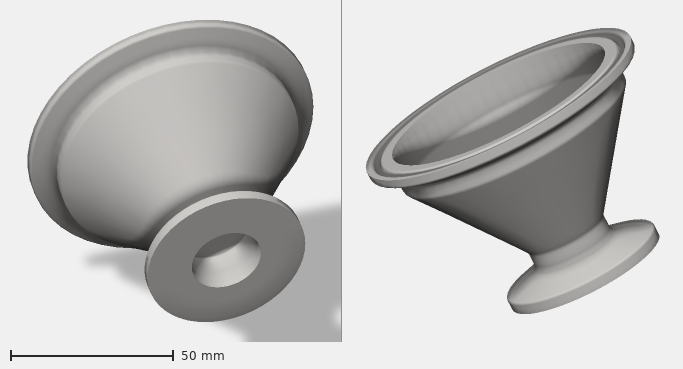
import cadquery as cq
import math

length = 60.0
wall = 1.8

large_tube_radius = 38.3
small_tube_radius = 12.9
cone_start = 10.9
cone_end = 46.1
bend_radius = 1.8

large_flange_radius = 45.5
small_flange_radius = 25.3
large_rim_width = 2.9
small_rim_width = 3.7
back_slope = math.tan(math.radians(20))
rim_round = 0.9
root_fillet = 1.8

groove_radius = 41.9
groove_bottom_round = 1.3
groove_lip_round = 0.9
groove_wall_angle = math.radians(70)

large_root = large_rim_width + (large_flange_radius - large_tube_radius) * back_slope
small_rim_start = length - small_rim_width
small_root = small_rim_start - (small_flange_radius - small_tube_radius) * back_slope

large_bore_radius = large_tube_radius - wall
small_bore_radius = small_tube_radius - wall


def add_corner(outline, before, corner, after, radius):
    """Run the outline up to a corner and round it with a tangent arc; zero radius keeps it sharp."""
    if radius == 0:
        return outline.lineTo(*corner)
    corner = cq.Vector(*corner)
    to_before = (cq.Vector(*before) - corner).normalized()
    to_after = (cq.Vector(*after) - corner).normalized()
    half_angle = to_before.getAngle(to_after) / 2
    setback = radius / math.tan(half_angle)
    middle_gap = radius / math.sin(half_angle) - radius
    start = corner + to_before * setback
    middle = corner + (to_before + to_after).normalized() * middle_gap
    end = corner + to_after * setback
    return outline.lineTo(start.x, start.y).threePointArc((middle.x, middle.y), (end.x, end.y))


def revolve_about_axis(outline):
    return outline.close().revolve(360, (0, 0, 0), (1, 0, 0))


def make_shell():
    corners = [
        (0, large_bore_radius, 0),
        (0, large_flange_radius, 0),
        (large_rim_width, large_flange_radius, rim_round),
        (large_root, large_tube_radius, root_fillet),
        (cone_start, large_tube_radius, bend_radius),
        (cone_end, small_tube_radius, bend_radius),
        (small_root, small_tube_radius, root_fillet),
        (small_rim_start, small_flange_radius, rim_round),
        (length, small_flange_radius, 0),
        (length, small_bore_radius, 0),
        (cone_end, small_bore_radius, bend_radius),
        (cone_start, large_bore_radius, bend_radius),
    ]
    outline = cq.Workplane("XY").moveTo(*corners[0][:2])
    for index in range(1, len(corners)):
        before = corners[index - 1][:2]
        x, radius, rounding = corners[index]
        after = corners[(index + 1) % len(corners)][:2]
        outline = add_corner(outline, before, (x, radius), after, rounding)
    return revolve_about_axis(outline)


def make_groove():
    """Groove cutter: two convex lip arcs tangent to one concave bottom arc."""
    round_sum = groove_bottom_round + groove_lip_round
    depth = round_sum * (1 - math.cos(groove_wall_angle))
    mouth_half_width = round_sum * math.sin(groove_wall_angle)
    join_depth = groove_lip_round * (1 - math.cos(groove_wall_angle))
    join_half_width = groove_bottom_round * math.sin(groove_wall_angle)
    middle_depth = groove_lip_round * (1 - math.cos(groove_wall_angle / 2))
    middle_half_width = mouth_half_width - groove_lip_round * math.sin(groove_wall_angle / 2)
    outline = (
        cq.Workplane("XY")
        .moveTo(0, groove_radius - mouth_half_width)
        .threePointArc(
            (middle_depth, groove_radius - middle_half_width),
            (join_depth, groove_radius - join_half_width),
        )
        .threePointArc((depth, groove_radius), (join_depth, groove_radius + join_half_width))
        .threePointArc(
            (middle_depth, groove_radius + middle_half_width),
            (0, groove_radius + mouth_half_width),
        )
    )
    return revolve_about_axis(outline)


result = make_shell().cut(make_groove())